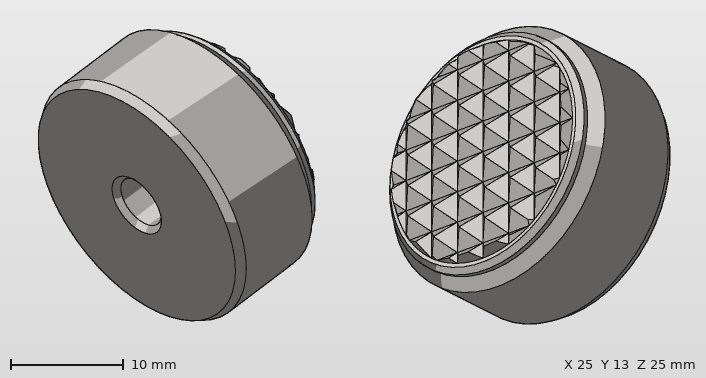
import cadquery as cq
import math


housing_radius = 12.5
rear_chamfer_width = 0.5
rear_chamfer_length = 0.88
seat_position = 10.5
bore_radius = 2.45
bore_mouth_radius = 3.0

insert_radius = 11.4
overall_length = 13.0
tooth_pitch = 3.0
tooth_height = tooth_pitch / 2
tooth_base = overall_length - tooth_height
insert_chamfer = 0.52
tooth_field_radius = 10.5
tooth_field_draft = 30.0

shoulder_position = seat_position - (housing_radius - insert_radius)


def turned(profile):
    """Revolve a closed (radius, Y) outline about the Y axis."""
    return cq.Workplane("XY").polyline(profile).close().revolve(360, (0, 0, 0), (0, 1, 0))


def make_housing():
    """Round housing with a countersunk bore that runs through to the insert."""
    countersink_depth = bore_mouth_radius - bore_radius
    return turned([
        (bore_mouth_radius, 0),
        (housing_radius - rear_chamfer_width, 0),
        (housing_radius, rear_chamfer_length),
        (housing_radius, shoulder_position),
        (insert_radius, seat_position),
        (bore_radius, seat_position),
        (bore_radius, countersink_depth),
    ])


def make_groove(offset):
    """V-groove along Z, centred at X = offset, with its bottom edge at the tooth base."""
    half_width = tooth_pitch / 2
    return (
        cq.Workplane("XY")
        .polyline([
            (offset, tooth_base),
            (offset + half_width, overall_length),
            (offset - half_width, overall_length),
        ])
        .close()
        .extrude(housing_radius, both=True)
    )


def make_insert():
    """Chamfered disc carrying a square grid of pyramid teeth inside a conical rim."""
    disc = turned([
        (0, seat_position),
        (insert_radius, seat_position),
        (insert_radius, tooth_base - insert_chamfer),
        (insert_radius - insert_chamfer, tooth_base),
        (0, tooth_base),
    ])
    field_top_radius = tooth_field_radius - tooth_height * math.tan(math.radians(tooth_field_draft))
    teeth = turned([
        (0, tooth_base),
        (tooth_field_radius, tooth_base),
        (field_top_radius, overall_length),
        (0, overall_length),
    ])
    outer_groove = math.floor(tooth_field_radius / tooth_pitch)
    for index in range(-outer_groove, outer_groove + 1):
        groove = make_groove(index * tooth_pitch)
        teeth = teeth.cut(groove)
        teeth = teeth.cut(groove.rotate((0, 0, 0), (0, 1, 0), 90))
    return disc.union(teeth)


housing = make_housing()
insert = make_insert()
result = cq.Compound.makeCompound([housing.val(), insert.solids().val()])